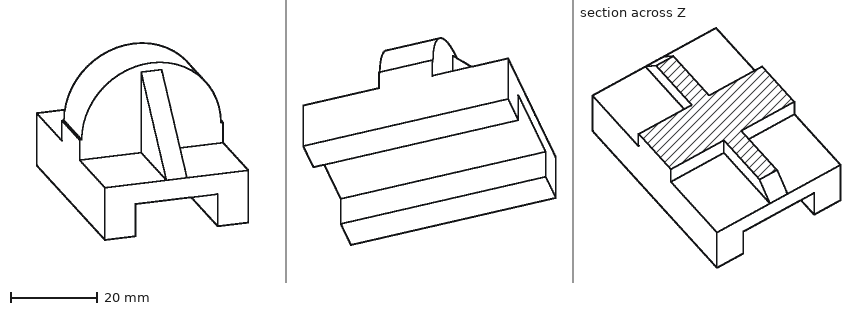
import cadquery as cq

base_length = 50.0
base_width = 35.0
base_height = 13.0

channel_width = 20.0
channel_depth = 8.0

upright_thickness = 13.0
shoulder_height = 5.0
crown_radius = 17.0
shoulder_z = base_height + shoulder_height

rib_thickness = 5.0
rib_height = 20.0


def make_base():
    """Rectangular block, standing on Z = 0, with the channel cut along its length."""
    block = cq.Workplane("XY").box(base_length, base_width, base_height, centered=(True, True, False))
    channel = cq.Workplane("XY").box(base_length, channel_width, channel_depth, centered=(True, True, False))
    return block.cut(channel)


def make_upright():
    """Full-width shoulder block topped by a slightly narrower half-round crown."""
    shoulder = (
        cq.Workplane("XY")
        .workplane(offset=base_height)
        .box(upright_thickness, base_width, shoulder_height, centered=(True, True, False))
    )
    crown = (
        cq.Workplane("YZ")
        .moveTo(-crown_radius, shoulder_z)
        .threePointArc((0, shoulder_z + crown_radius), (crown_radius, shoulder_z))
        .close()
        .extrude(upright_thickness / 2, both=True)
    )
    return shoulder.union(crown)


def make_rib(side):
    """Triangular rib from the end of the base up to the upright; side is +1 or -1 along X."""
    upright_face_x = side * upright_thickness / 2
    base_end_x = side * base_length / 2
    return (
        cq.Workplane("XZ")
        .moveTo(base_end_x, base_height)
        .lineTo(upright_face_x, base_height)
        .lineTo(upright_face_x, base_height + rib_height)
        .close()
        .extrude(rib_thickness / 2, both=True)
    )


result = make_base().union(make_upright())
for side in (-1, 1):
    result = result.union(make_rib(side))